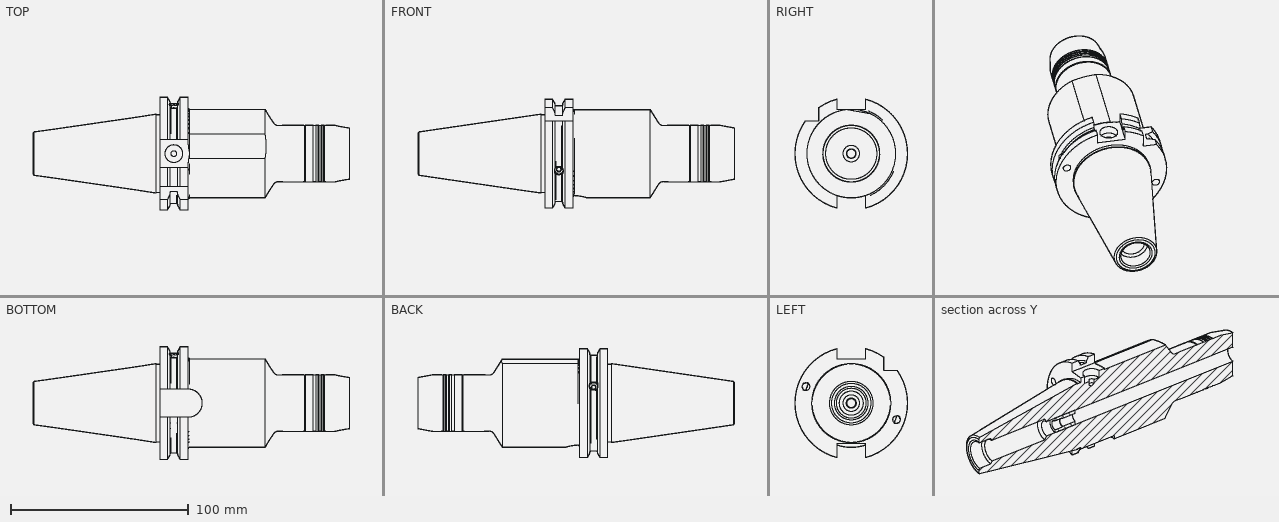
import cadquery as cq
import math

LENGTH = 178.4

TAPER_SLOPE = 7 / 48
TAPER_END_X = 69.4
TAPER_END_R = 22.3
TAPER_START_R = TAPER_END_R - TAPER_SLOPE * TAPER_END_X
NOSE_CHAMFER_X = 0.5
NOSE_CHAMFER_R = 1.0
RELIEF_R = 22.0

FLANGE_X = 71.5
FLANGE_WIDTH = 15.9
FLANGE_END_X = FLANGE_X + FLANGE_WIDTH
FLANGE_R = 31.8
GROOVE_X = 79.4
GROOVE_MOUTH_HALF = 3.5
GROOVE_FOOT_HALF = 2.1
GROOVE_FOOT_R = FLANGE_R - (GROOVE_MOUTH_HALF - GROOVE_FOOT_HALF) * math.sqrt(3)
GROOVE_FLOOR_R = 28.2
GROOVE_FILLET = 0.5
GROOVE_FLOOR_HALF = GROOVE_FOOT_HALF - GROOVE_FILLET

SLOT_WIDTH = 15.9
UPPER_SLOT_Z = 25.0
LOWER_SLOT_Z = -22.8
NOTCH_EDGE = 18.4

BODY_R = 25.0
BODY_FILLET = 0.9
BODY_END_X = 130.8
SHOULDER_END_X = 135.5
SHOULDER_END_R = 17.3
NECK_FOOT_X = 138.6
NECK_FOOT_R = 15.9
NECK_X = 141.8
NECK_R = 16.0
TIP_X = 169.8
TIP_R = 14.5

NECK_GROOVES = [
    (152.0, 153.0, 153.0, 153.6),
    (157.9, 157.9, 159.5, 159.5),
    (160.5, 161.1, 162.2, 162.7),
    (163.8, 164.3, 164.3, 165.4),
]
NECK_GROOVE_DEPTH = 0.2

FLAT_START_X = FLANGE_END_X + BODY_FILLET
FLAT_EDGE_LOW_Y = -2.7
FLAT_EDGE_HIGH_Y = 11.0

MOUTH_R = 9.5
PILOT_R = 8.4
PILOT_DEPTH = 8.4
THREAD_R = 6.8
THREAD_END_X = 46.4
CORE_R = 4.6
COUNTERSINK_RATIO = 1 / math.sqrt(3)

TUBE_X = 53.5
TUBE_LENGTH = 14.3
TUBE_SOCKET_R = 2.9
TUBE_SOCKET_DEPTH = 5.4
TUBE_BORE_R = 2.5

RECESS_R = 5.0
RECESS_DEPTH = 4.6
VENT_R = 1.6
VENT_DEPTH = 2.7

COOLANT_R = 2.1
COOLANT_PITCH_R = 27.1
COOLANT_ANGLES = (20.0, 200.0)
PLUG_R = 2.5
PLUG_OUTER_R = 26.5
PLUG_LENGTH = 4.5
PLUG_SOCKET_ACROSS = 2.5
PLUG_SOCKET_DEPTH = 1.5
PLUG_SEAT_R = PLUG_OUTER_R - PLUG_LENGTH
DRILL_POINT = 118.0


def turned(points):
    """Solid of revolution about X from a closed (x, radius) outline."""
    return cq.Workplane("XZ").polyline(points).close().revolve(360, (0, 0), (1, 0))


def drilled(radius, depth):
    """Drill shape along +Z from the origin, with a conical point beyond its depth."""
    point = radius / math.tan(math.radians(DRILL_POINT / 2))
    outline = [(0, 0), (radius, 0), (radius, depth), (0, depth + point)]
    return cq.Workplane("XZ").polyline(outline).close().revolve(360, (0, 0), (0, 1))


def blank():
    """Turned outside: taper, grooved flange, body, shoulder and neck."""
    outline = (
        cq.Workplane("XZ")
        .moveTo(0, 0)
        .lineTo(0, TAPER_START_R - NOSE_CHAMFER_R)
        .lineTo(NOSE_CHAMFER_X, TAPER_START_R + TAPER_SLOPE * NOSE_CHAMFER_X)
        .lineTo(TAPER_END_X, TAPER_END_R)
        .lineTo(TAPER_END_X, RELIEF_R)
        .lineTo(FLANGE_X, RELIEF_R)
        .lineTo(FLANGE_X, FLANGE_R)
        .lineTo(GROOVE_X - GROOVE_MOUTH_HALF, FLANGE_R)
        .lineTo(GROOVE_X - GROOVE_FOOT_HALF, GROOVE_FOOT_R)
        .lineTo(GROOVE_X - GROOVE_FOOT_HALF, GROOVE_FLOOR_R + GROOVE_FILLET)
        .radiusArc((GROOVE_X - GROOVE_FLOOR_HALF, GROOVE_FLOOR_R), -GROOVE_FILLET)
        .lineTo(GROOVE_X + GROOVE_FLOOR_HALF, GROOVE_FLOOR_R)
        .radiusArc((GROOVE_X + GROOVE_FOOT_HALF, GROOVE_FLOOR_R + GROOVE_FILLET), -GROOVE_FILLET)
        .lineTo(GROOVE_X + GROOVE_FOOT_HALF, GROOVE_FOOT_R)
        .lineTo(GROOVE_X + GROOVE_MOUTH_HALF, FLANGE_R)
        .lineTo(FLANGE_END_X, FLANGE_R)
        .lineTo(FLANGE_END_X, BODY_R + BODY_FILLET)
        .radiusArc((FLANGE_END_X + BODY_FILLET, BODY_R), -BODY_FILLET)
        .lineTo(BODY_END_X, BODY_R)
        .lineTo(SHOULDER_END_X, SHOULDER_END_R)
        .tangentArcPoint((NECK_FOOT_X, NECK_FOOT_R), relative=False)
        .lineTo(NECK_X, NECK_R)
        .lineTo(TIP_X, NECK_R)
        .lineTo(LENGTH, TIP_R)
        .lineTo(LENGTH, 0)
        .close()
    )
    return outline.revolve(360, (0, 0), (1, 0))


def neck_grooves():
    """List of shallow ring cuts around the neck."""
    floor_r = NECK_R - NECK_GROOVE_DEPTH
    cuts = []
    for start, floor_start, floor_end, end in NECK_GROOVES:
        points = [(start, NECK_R), (floor_start, floor_r)]
        if floor_end > floor_start:
            points.append((floor_end, floor_r))
        points.append((end, NECK_R))
        cuts.append(turned(points))
    return cuts


def drive_slots():
    """List of two slots across the flange; each runs out in a half round over the body."""
    cuts = []
    for floor_z, depth in ((UPPER_SLOT_Z, FLANGE_R), (LOWER_SLOT_Z, -FLANGE_R)):
        cut = (
            cq.Workplane("XY", origin=(0, 0, floor_z))
            .moveTo(FLANGE_X, -SLOT_WIDTH / 2)
            .lineTo(FLANGE_END_X, -SLOT_WIDTH / 2)
            .threePointArc((FLANGE_END_X + SLOT_WIDTH / 2, 0), (FLANGE_END_X, SLOT_WIDTH / 2))
            .lineTo(FLANGE_X, SLOT_WIDTH / 2)
            .close()
            .extrude(depth)
        )
        cuts.append(cut)
    return cuts


def corner_notch():
    """Square notch through the flange at its -Y, +Z corner."""
    return cq.Workplane("XY").box(FLANGE_WIDTH, FLANGE_R, FLANGE_R, centered=False).translate(
        (FLANGE_X, -NOTCH_EDGE - FLANGE_R, NOTCH_EDGE)
    )


def body_flat():
    """Cut that leaves a tilted flat along the top of the body, between its two edges."""
    low_z = math.sqrt(BODY_R**2 - FLAT_EDGE_LOW_Y**2)
    high_z = math.sqrt(BODY_R**2 - FLAT_EDGE_HIGH_Y**2)
    tilt = math.degrees(math.atan2(high_z - low_z, FLAT_EDGE_HIGH_Y - FLAT_EDGE_LOW_Y))
    width = math.hypot(high_z - low_z, FLAT_EDGE_HIGH_Y - FLAT_EDGE_LOW_Y)
    return (
        cq.Workplane("XY")
        .box(SHOULDER_END_X - FLAT_START_X, width, FLANGE_R - BODY_R, centered=False)
        .rotate((0, 0, 0), (1, 0, 0), tilt)
        .translate((FLAT_START_X, FLAT_EDGE_LOW_Y, low_z))
    )


def drawbar_bore():
    """Stepped bore from the small end, narrowing to the core bore that runs through."""
    return turned(
        [
            (0, 0),
            (0, MOUTH_R),
            ((MOUTH_R - PILOT_R) * COUNTERSINK_RATIO, PILOT_R),
            (PILOT_DEPTH, PILOT_R),
            (PILOT_DEPTH + (PILOT_R - THREAD_R) * COUNTERSINK_RATIO, THREAD_R),
            (THREAD_END_X, THREAD_R),
            (THREAD_END_X + (THREAD_R - CORE_R) * COUNTERSINK_RATIO, CORE_R),
            (LENGTH, CORE_R),
            (LENGTH, 0),
        ]
    )


def data_carrier_recess():
    """Round recess in the upper slot floor, with a small centre hole."""
    recess = cq.Workplane("XY").circle(RECESS_R).extrude(RECESS_DEPTH)
    vent = drilled(VENT_R, VENT_DEPTH).translate((0, 0, RECESS_DEPTH))
    pointing_down = recess.union(vent).rotate((0, 0, 0), (1, 0, 0), 180)
    return pointing_down.translate((GROOVE_X, 0, UPPER_SLOT_Z))


def coolant_passage(angle):
    """Axial hole in the flange face, met by a radial hole from the groove floor."""
    axial = (
        drilled(COOLANT_R, GROOVE_X - FLANGE_X)
        .rotate((0, 0, 0), (0, 1, 0), 90)
        .translate((FLANGE_X, -COOLANT_PITCH_R, 0))
    )
    radial = (
        cq.Workplane("XZ", origin=(GROOVE_X, -PLUG_SEAT_R, 0))
        .circle(PLUG_R)
        .extrude(FLANGE_R - PLUG_SEAT_R)
    )
    return axial.union(radial).rotate((0, 0, 0), (1, 0, 0), angle)


def plug(angle):
    """Coolant plug with a hexagon socket, seated in the radial hole."""
    flat_to_corner = 2 / math.sqrt(3)
    body = (
        cq.Workplane("XZ", origin=(GROOVE_X, -PLUG_SEAT_R, 0))
        .circle(PLUG_R)
        .extrude(PLUG_LENGTH)
        .faces("<Y")
        .workplane()
        .polygon(6, PLUG_SOCKET_ACROSS * flat_to_corner)
        .cutBlind(-PLUG_SOCKET_DEPTH)
    )
    return body.rotate((0, 0, 0), (1, 0, 0), angle)


def coolant_tube():
    """Hollow screw in the core bore, with a socket at its inner end."""
    return turned(
        [
            (TUBE_X, TUBE_SOCKET_R),
            (TUBE_X, CORE_R),
            (TUBE_X + TUBE_LENGTH, CORE_R),
            (TUBE_X + TUBE_LENGTH, TUBE_BORE_R),
            (TUBE_X + TUBE_SOCKET_DEPTH, TUBE_BORE_R),
            (TUBE_X + TUBE_SOCKET_DEPTH, TUBE_SOCKET_R),
        ]
    )


holder = blank()
for cut in neck_grooves() + drive_slots():
    holder = holder.cut(cut)
holder = holder.cut(corner_notch()).cut(body_flat()).cut(drawbar_bore()).cut(data_carrier_recess())
for angle in COOLANT_ANGLES:
    holder = holder.cut(coolant_passage(angle))
plugs = [plug(angle) for angle in COOLANT_ANGLES]
tube = coolant_tube()

result = cq.Compound.makeCompound([holder.val(), *[p.val() for p in plugs], tube.val()])